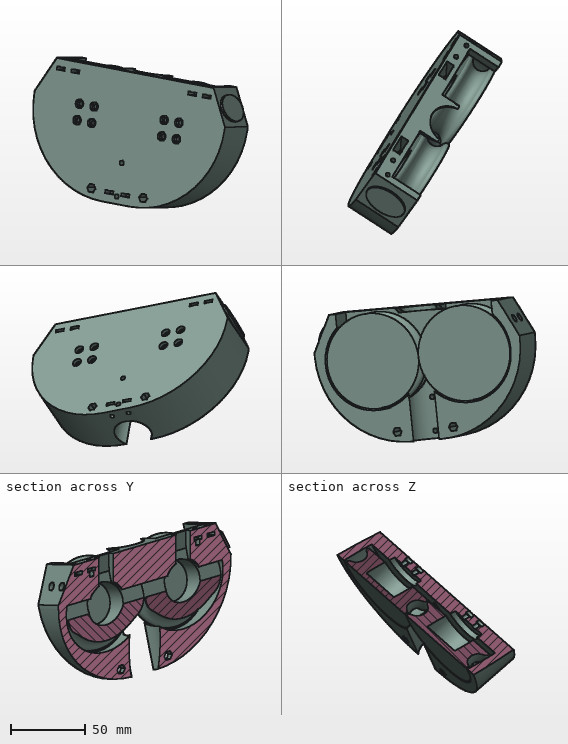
import cadquery as cq
import math

TILT = 18.0

HALF_WIDTH = 73.0
HEIGHT = 90.1
DEPTH = 34.3
TOP_HALF_WIDTH = 60.0
BEVEL_HEIGHT = 25.0
ARC_RADIUS = 62.6
ARC_CENTER_X = HALF_WIDTH - ARC_RADIUS
ARC_CENTER_Z = ARC_RADIUS - HEIGHT
BEVEL_RUN = HALF_WIDTH - TOP_HALF_WIDTH
BEVEL_ANGLE = math.degrees(math.atan2(BEVEL_RUN, BEVEL_HEIGHT))
TOP_EDGE_CHAMFER = 0.5

FLOOR = 11.4
POCKET_RADIUS = 33.5
OPENING_INNER_X = 15.6
OPENING_OUTER_X = 55.3
GUIDE_DEPTH = 25.3
GUIDE_TIP_RUN = 7.0
GUIDE_TIP_DROP = 3.2
BALL_BORE_RADIUS = 12.8

WHEEL_RADIUS = 64.5 / 2
WHEEL_GAP = 0.5
WHEEL_X = WHEEL_RADIUS + WHEEL_GAP / 2
WHEEL_Z = -33.6
WHEEL_FRONT = 14.6
WHEEL_WIDTH = 19.7
WHEEL_BORE = 29.3
WHEEL_WEB = 4.4
GROOVE_RADIUS = 6.7
GROOVE_EDGE_FILLET = 2.8
RIM_EDGE_FILLET = 0.2

MOTOR_SCREW_PITCH = 11.2
MOTOR_SCREW_DIAMETER = 3.2
MOTOR_HEAD_DIAMETER = 6.0
MOTOR_HEAD_DEPTH = 2.9
MOTOR_RECESS_DIAMETER = 29.3
MOTOR_RECESS_DEPTH = 4.1

WIRE_WIDTH = 11.8
WIRE_HEIGHT = 5.5
WIRE_FRONT = 2.3
WIRE_SLOPE = 16.0
WIRE_LENGTH = 36.5

SCREW_DIAMETER = 2.9
SCREW_LENGTH = 11.7
NUT_WIDTH = 6.0
NUT_SLOT_HEIGHT = 2.2
TOP_NUT_Z = -7.0
TOP_SCREWS = [(44.8, 6.0), (55.9, 8.0)]
BOTTOM_NUT_Z = -83.1
BOTTOM_SCREW_X = 6.1
BOTTOM_SCREW_Y = 5.0

HEX_FLATS = 5.4
HEX_X = 19.9
HEX_Z = -82.6
PILOT_DIAMETER = 3.2
PILOT_HEIGHTS = [-61.9, -84.8]

BEVEL_FEATURE_Z = -13.5
SIDE_HOLE_DIAMETER = 5.5
SIDE_HOLE_PITCH = 12.0
SIDE_HOLE_DEPTH = 6.0
BADGE_LENGTH = 29.2
BADGE_WIDTH = 19.0
BADGE_THICKNESS = 1.5


def front_plane(depth=0.0):
    """A workplane parallel to the front face; extrude by a negative length to go backwards."""
    return cq.Workplane("XZ", origin=(0, depth, 0))


def box(x_range, y_range, z_range):
    (x0, x1), (y0, y1), (z0, z1) = x_range, y_range, z_range
    return cq.Workplane("XY").box(x1 - x0, y1 - y0, z1 - z0, centered=False).translate((x0, y0, z0))


def outline():
    """The front outline: beveled top corners and two large arcs joined by a flat bottom."""
    diagonal = ARC_RADIUS * math.sqrt(0.5)
    mid_x = ARC_CENTER_X + diagonal
    mid_z = ARC_CENTER_Z - diagonal
    return (
        front_plane()
        .moveTo(-TOP_HALF_WIDTH, 0)
        .lineTo(TOP_HALF_WIDTH, 0)
        .lineTo(HALF_WIDTH, -BEVEL_HEIGHT)
        .lineTo(HALF_WIDTH, ARC_CENTER_Z)
        .threePointArc((mid_x, mid_z), (ARC_CENTER_X, -HEIGHT))
        .lineTo(-ARC_CENTER_X, -HEIGHT)
        .threePointArc((-mid_x, mid_z), (-HALF_WIDTH, ARC_CENTER_Z))
        .lineTo(-HALF_WIDTH, -BEVEL_HEIGHT)
        .close()
    )


def wheel_pocket(side):
    """A round pocket around the wheel with a straight-sided opening up through the top edge."""
    wheel_axis = front_plane(FLOOR).center(side * WHEEL_X, WHEEL_Z)
    round_part = wheel_axis.circle(POCKET_RADIUS).extrude(FLOOR - DEPTH)
    motor_recess = wheel_axis.circle(MOTOR_RECESS_DIAMETER / 2).extrude(MOTOR_RECESS_DEPTH)
    opening_x = sorted((side * OPENING_INNER_X, side * OPENING_OUTER_X))
    return round_part.union(motor_recess).union(box(opening_x, (FLOOR, DEPTH), (WHEEL_Z, 0)))


def guide_clearance():
    """The space between the wheels, leaving a tapered ball guide along the top edge."""
    profile = [
        (DEPTH, 0),
        (GUIDE_DEPTH, 0),
        (GUIDE_DEPTH - GUIDE_TIP_RUN, -GUIDE_TIP_DROP),
        (FLOOR, -GUIDE_TIP_DROP),
        (FLOOR, WHEEL_Z),
        (DEPTH, WHEEL_Z),
    ]
    start = cq.Workplane("YZ", origin=(-OPENING_INNER_X, 0, 0))
    return start.polyline(profile).close().extrude(2 * OPENING_INNER_X)


def motor_screw_holes(side):
    """Four counterbored holes from the front face to the motor recess."""
    screws = (
        front_plane()
        .center(side * WHEEL_X, WHEEL_Z)
        .rect(MOTOR_SCREW_PITCH, MOTOR_SCREW_PITCH, forConstruction=True)
        .vertices()
    )
    shanks = screws.circle(MOTOR_SCREW_DIAMETER / 2).extrude(-FLOOR)
    heads = screws.circle(MOTOR_HEAD_DIAMETER / 2).extrude(-MOTOR_HEAD_DEPTH)
    return shanks.union(heads)


def wire_channel(side):
    """A rectangular channel that slopes backwards as it goes down."""
    reach = WIRE_LENGTH * math.tan(math.radians(WIRE_SLOPE))
    profile = [
        (WIRE_FRONT, 0),
        (WIRE_FRONT + WIRE_HEIGHT, 0),
        (WIRE_FRONT + WIRE_HEIGHT + reach, -WIRE_LENGTH),
        (WIRE_FRONT + reach, -WIRE_LENGTH),
    ]
    start = side * WHEEL_X - WIRE_WIDTH / 2
    return cq.Workplane("YZ", origin=(start, 0, 0)).polyline(profile).close().extrude(WIRE_WIDTH)


def edge_screw(x, y, edge_z, nut_z):
    """A screw hole in from the top or bottom face and the nut slot that it crosses."""
    inward = math.copysign(1, nut_z - edge_z)
    entry = cq.Workplane("XY", origin=(x, y, edge_z))
    hole = entry.circle(SCREW_DIAMETER / 2).extrude(inward * SCREW_LENGTH)
    slot = box(
        (x - NUT_WIDTH / 2, x + NUT_WIDTH / 2),
        (0, y + NUT_WIDTH / 2),
        (nut_z - NUT_SLOT_HEIGHT / 2, nut_z + NUT_SLOT_HEIGHT / 2),
    )
    return hole.union(slot)


def hex_hole(x):
    """A hexagonal hole right through, with two corners pointing along X."""
    axis_start = (x, 0, HEX_Z)
    axis_end = (x, DEPTH, HEX_Z)
    prism = front_plane().center(x, HEX_Z).polygon(6, HEX_FLATS, circumscribed=True).extrude(-DEPTH)
    return prism.rotate(axis_start, axis_end, 360 / 12)


def bevel_plane(side):
    """A workplane on a beveled side, normal outward, with its local Y running along the depth."""
    x = TOP_HALF_WIDTH - BEVEL_FEATURE_Z * BEVEL_RUN / BEVEL_HEIGHT
    angle = math.radians(BEVEL_ANGLE)
    normal = (side * math.cos(angle), 0, math.sin(angle))
    along = (side * math.sin(angle), 0, -math.cos(angle))
    return cq.Workplane(
        cq.Plane(origin=(side * x, DEPTH / 2, BEVEL_FEATURE_Z), xDir=along, normal=normal)
    )


def make_housing():
    front_top_edge = cq.selectors.NearestToPointSelector((0, 0, 0))
    body = outline().extrude(-DEPTH)
    body = body.edges(front_top_edge).chamfer(TOP_EDGE_CHAMFER)

    for side in (-1, 1):
        body = body.cut(wheel_pocket(side))
    body = body.cut(guide_clearance())
    bore = cq.Workplane("XY", origin=(0, GUIDE_DEPTH, 0)).circle(BALL_BORE_RADIUS).extrude(-HEIGHT)
    body = body.cut(bore)

    for side in (-1, 1):
        body = body.cut(motor_screw_holes(side))
        body = body.cut(wire_channel(side))
        for x, y in TOP_SCREWS:
            body = body.cut(edge_screw(side * x, y, 0, TOP_NUT_Z))
        body = body.cut(edge_screw(side * BOTTOM_SCREW_X, BOTTOM_SCREW_Y, -HEIGHT, BOTTOM_NUT_Z))
        body = body.cut(hex_hole(side * HEX_X))

    for z in PILOT_HEIGHTS:
        body = body.cut(front_plane().center(0, z).circle(PILOT_DIAMETER / 2).extrude(-GUIDE_DEPTH))

    side_holes = bevel_plane(-1).pushPoints([(0, -SIDE_HOLE_PITCH / 2), (0, SIDE_HOLE_PITCH / 2)])
    return body.cut(side_holes.circle(SIDE_HOLE_DIAMETER / 2).extrude(-SIDE_HOLE_DEPTH))


def make_wheel(side):
    """A cup open to the front, with a round ball groove centred on its rim."""
    blank = front_plane().circle(WHEEL_RADIUS).extrude(-WHEEL_WIDTH)
    bore = front_plane().circle(WHEEL_BORE / 2).extrude(WHEEL_WEB - WHEEL_WIDTH)
    groove = (
        cq.Workplane("XY")
        .center(WHEEL_RADIUS, WHEEL_WIDTH / 2)
        .circle(GROOVE_RADIUS)
        .revolve(360, (-WHEEL_RADIUS, 0), (-WHEEL_RADIUS, 1))
    )
    wheel = blank.cut(bore).cut(groove)
    outermost = cq.selectors.RadiusNthSelector(-1)
    wheel = wheel.edges("%CIRCLE and (not (<Y or >Y))").edges(outermost).fillet(GROOVE_EDGE_FILLET)
    wheel = wheel.faces("<Y or >Y").edges(outermost).fillet(RIM_EDGE_FILLET)
    return wheel.translate((side * WHEEL_X, WHEEL_FRONT, WHEEL_Z))


def make_badge():
    """A plain oval plate on the right-hand bevel."""
    return bevel_plane(1).ellipse(BADGE_WIDTH / 2, BADGE_LENGTH / 2).extrude(BADGE_THICKNESS)


def tilt(body):
    return body.rotate((0, 0, 0), (1, 0, 0), -TILT)


housing = tilt(make_housing())
wheels = [tilt(make_wheel(side)) for side in (-1, 1)]
badge = tilt(make_badge())

result = cq.Compound.makeCompound([housing.val(), *[wheel.val() for wheel in wheels], badge.val()])